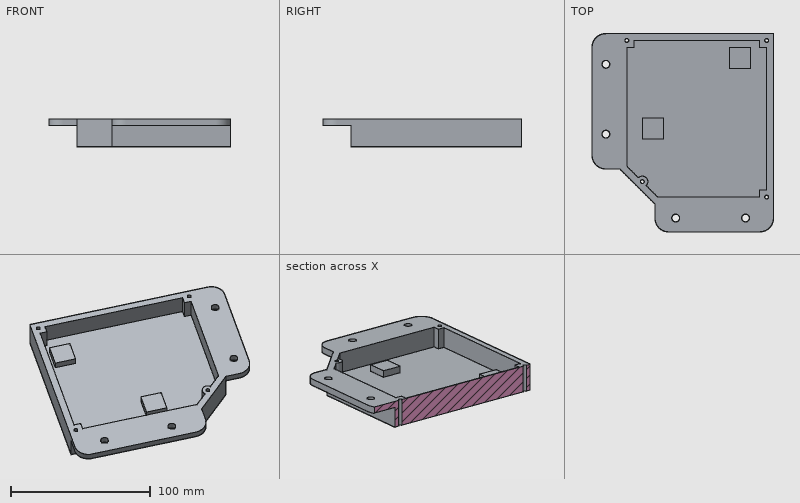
import cadquery as cq
import math

width = 130.0
length = 142.0
height = 20.0

flange_width = 20.0
flange_thickness = 5.0
flange_radius = 10.0
corner_cut = 25.0
wall = 5.0
floor = 5.0

post_size = 5.0
boss_radius = 4.0
screw_diameter = 2.5

mount_diameter = 5.4
mount_spacing = 50.0
side_hole_offset = 22.0
front_hole_offset = 20.0

pad_size = 15.0
pad_height = 5.0
pad_offsets = [(24.1, 17.6), (86.3, 68.0)]

cavity_left = flange_width + wall
cavity_right = width - wall
cavity_front = flange_width + wall
cavity_back = length - wall
cavity_cut = corner_cut - wall * (2 - math.sqrt(2))


def cut_corner_block(left, front, right, back, cut, base, block_height):
    """Block whose (-X, -Y) corner is cut off at 45 degrees."""
    return (
        cq.Workplane("XY", origin=(0, 0, base))
        .moveTo(left + cut, front)
        .lineTo(right, front)
        .lineTo(right, back)
        .lineTo(left, back)
        .lineTo(left, front + cut)
        .close()
        .extrude(block_height)
    )


def make_flange():
    """L-shaped flange plate along the -X and -Y sides, level with the rim."""
    diagonal = flange_width + corner_cut
    plate = (
        cq.Workplane("XY", origin=(0, 0, height - flange_thickness))
        .moveTo(diagonal, 0)
        .lineTo(width, 0)
        .lineTo(width, length)
        .lineTo(0, length)
        .lineTo(0, diagonal)
        .lineTo(flange_width, diagonal)
        .lineTo(diagonal, flange_width)
        .close()
        .extrude(flange_thickness)
    )
    for x, y in [(diagonal, 0), (width, 0), (0, length), (0, diagonal)]:
        corner = cq.selectors.NearestToPointSelector((x, y, height - flange_thickness / 2))
        plate = plate.edges("|Z").edges(corner).fillet(flange_radius)
    return plate


cavity_height = height - floor
housing = cut_corner_block(flange_width, flange_width, width, length, corner_cut, 0, height)
cavity = cut_corner_block(
    cavity_left, cavity_front, cavity_right, cavity_back, cavity_cut, floor, cavity_height
)

corner_points = [
    (cavity_left, cavity_back),
    (cavity_right, cavity_back),
    (cavity_right, cavity_front),
]
boss_point = (cavity_left + cavity_cut / 2, cavity_front + cavity_cut / 2)
floor_plane = cq.Workplane("XY", origin=(0, 0, floor))
corner_posts = floor_plane.pushPoints(corner_points).rect(2 * post_size, 2 * post_size).extrude(cavity_height)
boss = floor_plane.pushPoints([boss_point]).circle(boss_radius).extrude(cavity_height)
cavity = cavity.cut(corner_posts).cut(boss)

pad_points = [(width - x, length - y) for x, y in pad_offsets]
pads = floor_plane.pushPoints(pad_points).rect(pad_size, pad_size).extrude(pad_height)

mount_points = []
for index in range(2):
    step = index * mount_spacing
    mount_points.append((flange_width / 2, length - side_hole_offset - step))
    mount_points.append((width - front_hole_offset - step, flange_width / 2))

base_plane = cq.Workplane("XY")
mount_holes = base_plane.pushPoints(mount_points).circle(mount_diameter / 2).extrude(height)
screw_holes = base_plane.pushPoints(corner_points + [boss_point]).circle(screw_diameter / 2).extrude(height)

result = housing.union(make_flange()).cut(cavity).union(pads).cut(mount_holes).cut(screw_holes)